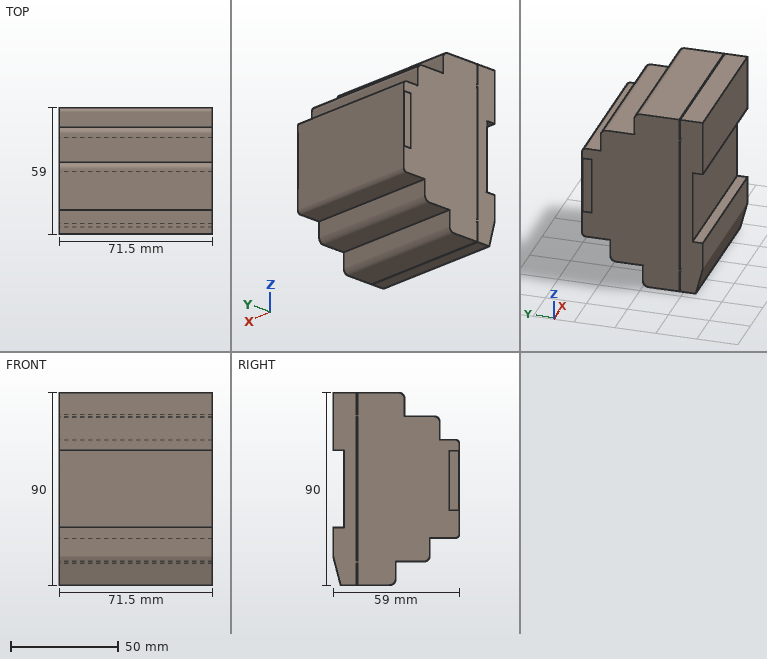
import cadquery as cq

width = 71.5
depth = 59.0
height = 90.0

upper_shoulder_y = 33.5
upper_step_y = 49.95
lower_shoulder_y = 29.3
lower_step_y = 45.3
step_height = 11.0
nose_top = height - 2 * step_height
nose_bottom = 2 * step_height
shoulder_radius = 3.0
nose_radius = 2.0

rail_depth = 5.0
rail_bottom = 27.0
rail_top = 63.0
foot_slope_height = 13.5
foot_slope_depth = 3.5

slot_width = 0.45
slot_y = 11.25
web_height = 1.35
web_inset = 10.2

window_depth = 0.1
window_nose_gap = 0.4
window_length = 4.3
window_bottom = 34.9
window_height = 27.8


def rounded_steps(body):
    """Round the outer corners of the shoulders, the steps and the nose."""
    shoulders = [
        (upper_shoulder_y, height),
        (upper_step_y, height - step_height),
        (lower_step_y, step_height),
        (lower_shoulder_y, 0),
    ]
    nose_corners = [(depth, nose_top), (depth, nose_bottom)]
    for corners, radius in ((shoulders, shoulder_radius), (nose_corners, nose_radius)):
        for y, z in corners:
            edge = cq.selectors.NearestToPointSelector((0, y, z))
            body = body.edges("|X").edges(edge).fillet(radius)
    return body


def housing():
    """Stepped side profile, extruded across the full width."""
    profile = [
        (foot_slope_depth, 0),
        (lower_shoulder_y, 0),
        (lower_shoulder_y, step_height),
        (lower_step_y, step_height),
        (lower_step_y, nose_bottom),
        (depth, nose_bottom),
        (depth, nose_top),
        (upper_step_y, nose_top),
        (upper_step_y, height - step_height),
        (upper_shoulder_y, height - step_height),
        (upper_shoulder_y, height),
        (0, height),
        (0, rail_top),
        (rail_depth, rail_top),
        (rail_depth, rail_bottom),
        (0, rail_bottom),
        (0, foot_slope_height),
    ]
    body = cq.Workplane("YZ").polyline(profile).close().extrude(width / 2, both=True)
    return rounded_steps(body)


def slot_band(bottom, band_height):
    """Block as thin as the parting slot, spanning the full width from the given level."""
    band = cq.Workplane("XY").box(width, slot_width, band_height, centered=(True, True, False))
    return band.translate((0, slot_y, bottom))


def parting_slot():
    """Full-height slot through the width, interrupted by the two webs."""
    slot = slot_band(0, height)
    for web_bottom in (web_inset, height - web_inset - web_height):
        slot = slot.cut(slot_band(web_bottom, web_height))
    return slot


def window_recess(side):
    """Recess in the end face on the given side, -1 or +1 along X."""
    window = cq.Workplane("XY").box(2 * window_depth, window_length, window_height)
    middle_y = depth - window_nose_gap - window_length / 2
    middle_z = window_bottom + window_height / 2
    return window.translate((side * width / 2, middle_y, middle_z))


result = housing().cut(parting_slot())
for side in (-1, 1):
    result = result.cut(window_recess(side))